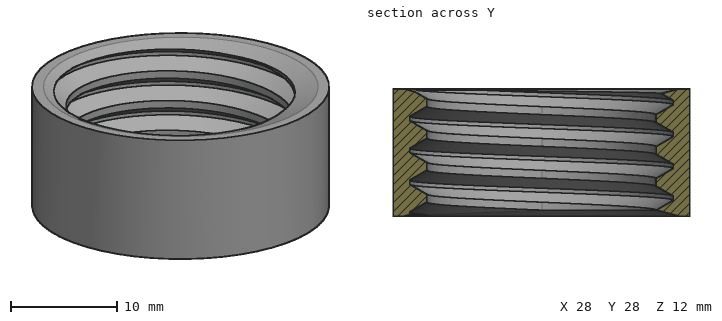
import cadquery as cq
import math

outer_diameter = 28.0
height = 12.0

pitch = 3.0
minor_radius = 10.78
flank_angle = 30.0
crest_flat = pitch / 4
root_flat = pitch / 8
flank_slope = math.tan(math.radians(flank_angle))
groove_mouth = pitch - crest_flat
thread_depth = (groove_mouth - root_flat) / (2 * flank_slope)
major_radius = minor_radius + thread_depth
groove_phase = 0.2

lead_in_radius = 12.93
lead_in_angle = 15.0
lead_in_depth = (lead_in_radius - minor_radius) * math.tan(math.radians(lead_in_angle))

bore_overlap = 0.3
run_in_turns = 1.0
run_out_turns = 1.5


def ring_body():
    """Plain ring with a straight bore at the thread's minor diameter."""
    outer_radius = outer_diameter / 2
    return (
        cq.Workplane("YZ")
        .moveTo(-minor_radius, 0)
        .lineTo(-outer_radius, 0)
        .lineTo(-outer_radius, height)
        .lineTo(-minor_radius, height)
        .close()
        .revolve(360, (0, 0, 0), (0, 1, 0))
    )


def lead_in_cutter():
    """Core that fills the bore and flares to a cone at each end face."""
    return (
        cq.Workplane("YZ")
        .moveTo(0, 0)
        .lineTo(-lead_in_radius, 0)
        .lineTo(-minor_radius, lead_in_depth)
        .lineTo(-minor_radius, height - lead_in_depth)
        .lineTo(-lead_in_radius, height)
        .lineTo(0, height)
        .close()
        .revolve(360, (0, 0, 0), (0, 1, 0))
    )


def thread_groove():
    """Trapezoidal groove swept along the helix, starting below the bottom face."""
    start = groove_phase - run_in_turns * pitch
    length = height + (run_in_turns + run_out_turns) * pitch
    inner_radius = minor_radius - bore_overlap
    inner_half = groove_mouth / 2 + bore_overlap * flank_slope
    root_half = root_flat / 2
    path = cq.Wire.makeHelix(pitch, length, minor_radius).translate(cq.Vector(0, 0, start))
    return (
        cq.Workplane("XZ")
        .moveTo(inner_radius, start - inner_half)
        .lineTo(major_radius, start - root_half)
        .lineTo(major_radius, start + root_half)
        .lineTo(inner_radius, start + inner_half)
        .close()
        .sweep(cq.Workplane(obj=path), isFrenet=True)
    )


threaded_ring = ring_body().cut(thread_groove())
result = threaded_ring.cut(lead_in_cutter()).solids()